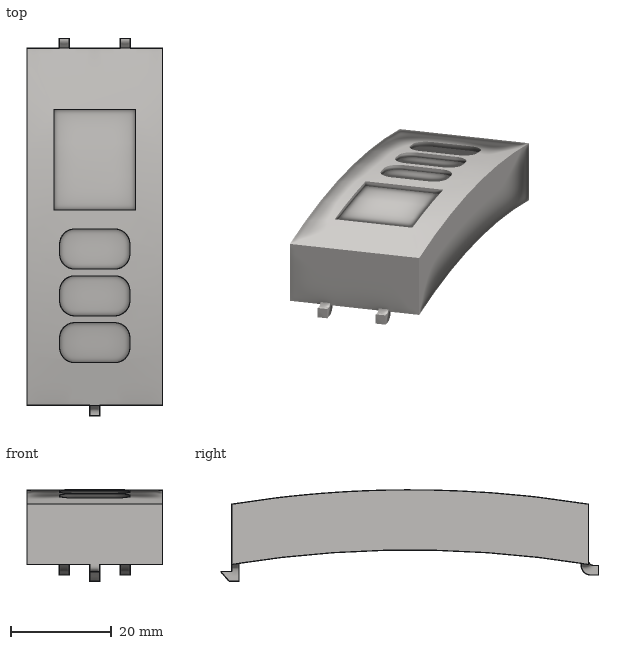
import cadquery as cq
import math

WIDTH = 27.0
OVERALL_LENGTH = 75.05
BODY_LENGTH = 71.0
THICKNESS = 12.0
ARCH_RISE = 2.85
HALF_LENGTH = BODY_LENGTH / 2

RECESS_DEPTH = 1.0
SCREEN_WIDTH = 16.2
SCREEN_LENGTH = 20.0
SCREEN_START = 3.3
BUTTON_WIDTH = 13.95
BUTTON_LENGTH = 7.95
BUTTON_RADIUS = 3.0
BUTTON_PITCH = 9.3
BUTTON_COUNT = 3
FIRST_BUTTON_GAP = 0.45

HOOK_WIDTH = 2.0
HOOK_ROOT = 1.5
FRONT_HOOK_DROP = 3.4
FRONT_LIP_DROP = 1.35
FRONT_REACH = 2.1
FRONT_FOOT_REACH = 0.45
FRONT_TIP_HEIGHT = 0.15
REAR_HOOK_OFFSET = 6.1
REAR_HOOK_DROP = 2.1
REAR_REACH = OVERALL_LENGTH - BODY_LENGTH - FRONT_REACH
REAR_LIP_DROP = 0.15
REAR_LIP_FLAT = 0.7
REAR_LIP_RISE = 0.45
REAR_HOLLOW_OFFSET = 0.3
REAR_HOLLOW_RISE = 0.1
REAR_HEEL_RADIUS = 1.9


def arched_slab(bottom, top):
    """Full-width slab between two equal arches with crowns at the given heights."""
    return (
        cq.Workplane("YZ", origin=(-WIDTH / 2, 0, 0))
        .moveTo(-HALF_LENGTH, bottom - ARCH_RISE)
        .threePointArc((0, bottom), (HALF_LENGTH, bottom - ARCH_RISE))
        .lineTo(HALF_LENGTH, top - ARCH_RISE)
        .threePointArc((0, top), (-HALF_LENGTH, top - ARCH_RISE))
        .close()
        .extrude(WIDTH)
    )


def column(width, length, center_y):
    """Upright block through the whole body."""
    return (
        cq.Workplane("XY")
        .workplane(offset=-ARCH_RISE)
        .center(0, center_y)
        .rect(width, length)
        .extrude(THICKNESS + 2 * ARCH_RISE)
    )


def recess_columns():
    """Outlines of the screen window and the row of rounded buttons."""
    columns = column(SCREEN_WIDTH, SCREEN_LENGTH, SCREEN_START + SCREEN_LENGTH / 2)
    for index in range(BUTTON_COUNT):
        center_y = -FIRST_BUTTON_GAP - BUTTON_LENGTH / 2 - index * BUTTON_PITCH
        button = column(BUTTON_WIDTH, BUTTON_LENGTH, center_y)
        columns = columns.add(button.edges("|Z").fillet(BUTTON_RADIUS))
    return columns.combine()


def front_hook():
    """Central hook with a sloped lead-in, pointing towards -Y."""
    face = -HALF_LENGTH
    root = face + HOOK_ROOT
    lip = -ARCH_RISE - FRONT_LIP_DROP
    foot = -ARCH_RISE - FRONT_HOOK_DROP
    return (
        cq.Workplane("YZ", origin=(-HOOK_WIDTH / 2, 0, 0))
        .moveTo(root, 0)
        .lineTo(root, foot)
        .lineTo(face - FRONT_FOOT_REACH, foot)
        .lineTo(face - FRONT_REACH, lip - FRONT_TIP_HEIGHT)
        .lineTo(face - FRONT_REACH, lip)
        .lineTo(face, lip)
        .lineTo(face, 0)
        .close()
        .extrude(HOOK_WIDTH)
    )


def rear_hook(center_x):
    """Hook with a rounded heel and a hollow lip, pointing towards +Y."""
    face = HALF_LENGTH
    tip = face + REAR_REACH
    root = face - HOOK_ROOT
    edge = -ARCH_RISE
    foot = edge - REAR_HOOK_DROP
    lip = edge - REAR_LIP_DROP
    corner_gap = REAR_HEEL_RADIUS * (1 - math.sqrt(0.5))
    heel_middle = (root + corner_gap, foot + corner_gap)
    hollow_middle = (face + REAR_HOLLOW_OFFSET, edge + REAR_HOLLOW_RISE)
    return (
        cq.Workplane("YZ", origin=(center_x - HOOK_WIDTH / 2, 0, 0))
        .moveTo(root, 0)
        .lineTo(root, foot + REAR_HEEL_RADIUS)
        .threePointArc(heel_middle, (root + REAR_HEEL_RADIUS, foot))
        .lineTo(tip, foot)
        .lineTo(tip, lip)
        .lineTo(tip - REAR_LIP_FLAT, lip)
        .threePointArc(hollow_middle, (face, edge + REAR_LIP_RISE))
        .lineTo(face, 0)
        .close()
        .extrude(HOOK_WIDTH)
    )


body = arched_slab(0, THICKNESS)
recess_layer = arched_slab(THICKNESS - RECESS_DEPTH, THICKNESS + RECESS_DEPTH)
result = body.cut(recess_columns().intersect(recess_layer))
for hook in (front_hook(), rear_hook(-REAR_HOOK_OFFSET), rear_hook(REAR_HOOK_OFFSET)):
    result = result.union(hook.cut(body))